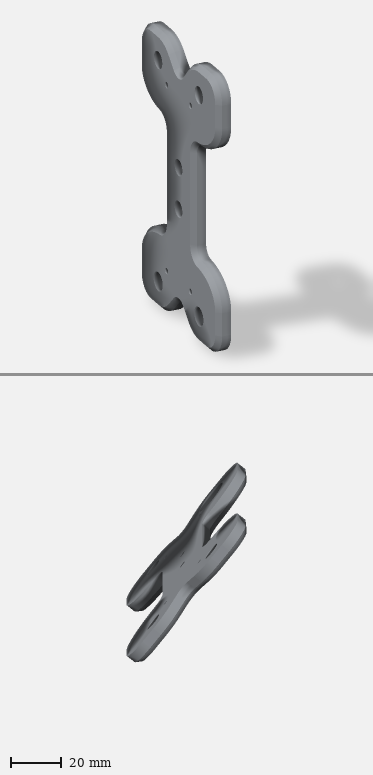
import cadquery as cq
import math

height = 120.0
width = 70.0
thickness = 6.0
neck_width = 25.0
rim_chamfer = 2.0

top = height / 2
side = width / 2
neck_side = neck_width / 2

notch_depth = 12.0
notch_z = top - notch_depth
lobe_ellipse_x = 15.0
lobe_ellipse_z = 40.0
lobe_ellipse_rx = side - lobe_ellipse_x
lobe_ellipse_rz = 15.0
neck_angle = math.acos((neck_side - lobe_ellipse_x) / lobe_ellipse_rx)
neck_top = lobe_ellipse_z - lobe_ellipse_rz * math.sin(neck_angle)

corner_radius = 10.0
shoulder_radius = 15.0
notch_radius = 4.0
neck_radius = 5.0

mount_hole_d = 7.5
mount_hole_x = 18.2
mount_hole_z = 48.0
mount_hole_chamfer = 0.4
back_bore_d = 14.4
back_bore_depth = 2.5
pilot_hole_d = 2.0
pilot_sink_d = 2.6
pilot_hole_x = 10.7
pilot_hole_z = 40.3
screw_hole_d = 3.0
screw_head_d = 7.0
screw_hole_z = 9.0
sink_angle = 90.0


def quarter_plate():
    """Upper +X quarter of the plate with sharp corners."""
    return (
        cq.Workplane("XZ")
        .lineTo(neck_side, 0)
        .lineTo(neck_side, neck_top)
        .ellipseArc(lobe_ellipse_rx, lobe_ellipse_rz, -math.degrees(neck_angle), 0)
        .lineTo(side, top)
        .lineTo(notch_depth, top)
        .lineTo(0, notch_z)
        .close()
        .extrude(thickness)
    )


def round_corner(plate, x, z, radius):
    """Round the edges along Y at (x, z) and at its mirror images."""
    for corner_x in {-x, x}:
        for corner_z in {-z, z}:
            corner = cq.selectors.NearestToPointSelector((corner_x, -thickness / 2, corner_z))
            plate = plate.edges("|Y").edges(corner).fillet(radius)
    return plate


def blank_plate():
    """Whole plate with rounded corners and a chamfered front rim."""
    quarter = quarter_plate()
    upper = quarter.union(quarter.mirror("YZ"))
    plate = upper.union(upper.mirror("XY")).clean()
    plate = round_corner(plate, side, top, corner_radius)
    plate = round_corner(plate, notch_depth, top, shoulder_radius)
    plate = round_corner(plate, 0, notch_z, notch_radius)
    plate = round_corner(plate, neck_side, neck_top, neck_radius)
    return plate.faces("<Y").chamfer(rim_chamfer)


def front_points(points):
    """Workplane on the front face, facing -Y, holding the given (x, z) points."""
    return cq.Workplane("XZ", origin=(0, -thickness, 0)).pushPoints(points)


def straight_holes(points, diameter):
    """Cylinders through the plate."""
    return front_points(points).circle(diameter / 2).extrude(-thickness)


def sunk_holes(points, diameter, sink_diameter):
    """Cylinders through the plate with a conical sink in the front face."""
    depth = (sink_diameter - diameter) / 2 / math.tan(math.radians(sink_angle / 2))
    sinks = front_points(points).circle(sink_diameter / 2).extrude(-depth, taper=sink_angle / 2)
    return straight_holes(points, diameter).union(sinks)


def back_bore(point):
    """Shallow counterbore in the back face around a mount hole."""
    return cq.Workplane("XZ").pushPoints([point]).circle(back_bore_d / 2).extrude(back_bore_depth)


upper_mounts = [(-mount_hole_x, mount_hole_z), (mount_hole_x, mount_hole_z)]
lower_mounts = [(x, -z) for x, z in upper_mounts]
bored_mount = upper_mounts[0]
pilots = [(x, z) for x in (-pilot_hole_x, pilot_hole_x) for z in (-pilot_hole_z, pilot_hole_z)]
screws = [(0, -screw_hole_z), (0, screw_hole_z)]

mount_rim_d = mount_hole_d + 2 * mount_hole_chamfer

result = (
    blank_plate()
    .cut(straight_holes(upper_mounts, mount_hole_d))
    .cut(back_bore(bored_mount))
    .cut(sunk_holes(lower_mounts, mount_hole_d, mount_rim_d))
    .cut(sunk_holes(pilots, pilot_hole_d, pilot_sink_d))
    .cut(sunk_holes(screws, screw_hole_d, screw_head_d))
)